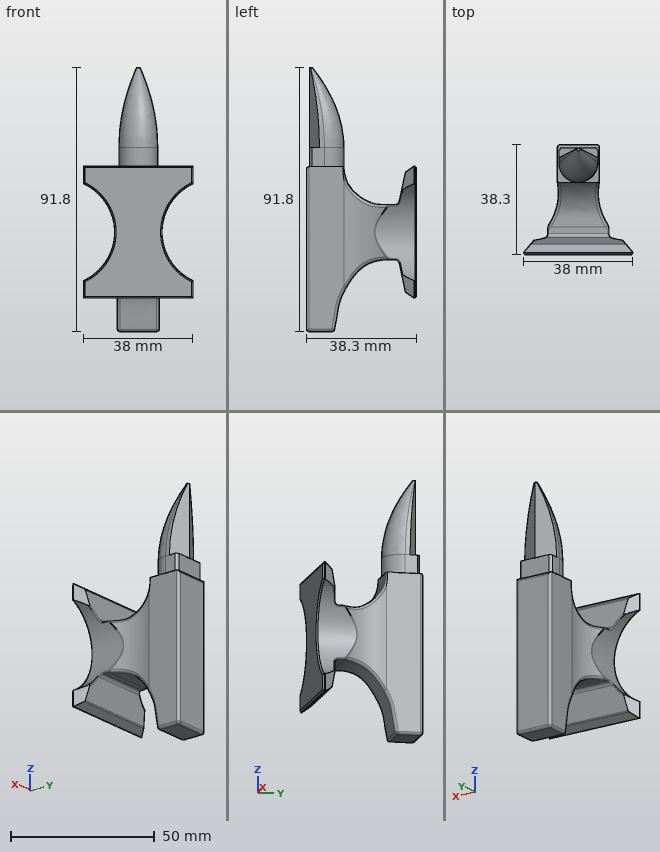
import cadquery as cq


total_length = 91.8
total_height = 38.3
body_top = 57.4
body_half_width = 7.3
body_edge_round = 1.0
heel_height = 28.55

foot_length = 45.9
foot_half_width = 19.0
foot_middle = 34.6
foot_rim = 0.8
foot_rim_chamfer = 0.55
foot_shoulder_y = 3.9
foot_shoulder_round = 0.7
foot_end_taper = 2.1
foot_side_end_y = 6.1
foot_side_end_half_width = 14.5

waist_half_length = 9.6
waist_start_y = 6.2
waist_flat_end_y = 9.7
waist_root_round = 1.5
flank_mid_y = 16.2
flank_mid_half_width = 7.7
flank_end_half_width = 11.9
flank_end_y = 8.3

heel_curve = [(18.4, 22.6), (22.6, 18.2), (26.1, 11.9)]
heel_direction = (0.2, -1)
throat_curve = [(22.2, 49.2), (16.0, 44.9)]

scallop_radius = 18.5
scallop_rim_round = 0.4
scallop_waist_half_width = 8.3
scallop_depth_y = 18.4
scallop_rim_reach = 9.2

pick_margin = 0.1

horn_top = 37.2
horn_bottom = 25.2
horn_half_width = 6.8
collar_top = 64.0
horn_shoulder_y = 33.7
horn_tip_scale = 0.09
horn_sections = 5
collar_corner_chamfer = 0.9

foot_low = foot_middle - foot_length / 2
foot_high = foot_middle + foot_length / 2
waist_low = foot_middle - waist_half_length
waist_high = foot_middle + waist_half_length


def make_foot():
    """Tapered foot plate, trimmed on its long sides by a matching taper."""
    side_profile = (
        cq.Workplane("YZ", origin=(-foot_half_width, 0, 0))
        .moveTo(0, foot_low)
        .lineTo(foot_rim, foot_low)
        .lineTo(foot_shoulder_y, foot_low + foot_end_taper)
        .lineTo(waist_start_y, waist_low)
        .lineTo(waist_start_y, waist_high)
        .lineTo(foot_shoulder_y, foot_high - foot_end_taper)
        .lineTo(foot_rim, foot_high)
        .lineTo(0, foot_high)
        .close()
        .extrude(2 * foot_half_width)
    )
    side_taper = (
        cq.Workplane("XY", origin=(0, 0, foot_low))
        .moveTo(-foot_half_width, 0)
        .lineTo(foot_half_width, 0)
        .lineTo(foot_half_width, foot_rim)
        .lineTo(foot_side_end_half_width, foot_side_end_y)
        .lineTo(foot_side_end_half_width, waist_start_y)
        .lineTo(-foot_side_end_half_width, waist_start_y)
        .lineTo(-foot_side_end_half_width, foot_side_end_y)
        .lineTo(-foot_half_width, foot_rim)
        .close()
        .extrude(foot_length)
    )
    return side_profile.intersect(side_taper)


def make_waist_and_body():
    """Long body whose waist narrows in Z and flares in X towards the foot."""
    side_profile = (
        cq.Workplane("YZ", origin=(-foot_half_width, 0, 0))
        .moveTo(foot_rim, waist_low)
        .lineTo(waist_flat_end_y, waist_low)
        .spline([*heel_curve, (heel_height, 0)],
                tangents=[(1, 0), heel_direction], includeCurrent=True)
        .lineTo(total_height, 0)
        .lineTo(total_height, body_top)
        .lineTo(horn_bottom, body_top)
        .spline([*throat_curve, (waist_flat_end_y, waist_high)],
                tangents=[(0, -1), (-1, 0)], includeCurrent=True)
        .lineTo(foot_rim, waist_high)
        .close()
        .extrude(2 * foot_half_width)
    )
    flank_profile = (
        cq.Workplane("XY")
        .moveTo(-flank_end_half_width, foot_rim)
        .lineTo(flank_end_half_width, foot_rim)
        .lineTo(flank_end_half_width, flank_end_y)
        .threePointArc((flank_mid_half_width, flank_mid_y), (body_half_width, horn_bottom))
        .lineTo(body_half_width, total_height)
        .lineTo(-body_half_width, total_height)
        .lineTo(-body_half_width, horn_bottom)
        .threePointArc((-flank_mid_half_width, flank_mid_y), (-flank_end_half_width, flank_end_y))
        .close()
        .extrude(body_top)
    )
    body = side_profile.intersect(flank_profile)
    flank_rims = body.edges("%BSPLINE")
    heel_edges = body.faces("<Z").edges()
    face_edges = body.faces(">Y").edges()
    return body.newObject(flank_rims.add(heel_edges).add(face_edges).vals()).fillet(body_edge_round)


def make_scallops():
    centre_x = scallop_waist_half_width + scallop_radius
    return (
        cq.Workplane("XZ")
        .pushPoints([(-centre_x, foot_middle), (centre_x, foot_middle)])
        .circle(scallop_radius)
        .extrude(-scallop_depth_y)
    )


def edges_in_slab(solid, middle_y):
    """Straight edges along X that lie at one height above the sole."""
    low = (-foot_half_width, middle_y - pick_margin, foot_low)
    high = (foot_half_width, middle_y + pick_margin, foot_high)
    return solid.edges("|X").edges(cq.selectors.BoxSelector(low, high))


def scallop_rims(solid):
    """Rims of the scallops between the foot tapers and the waist edge rounds."""
    reach_x = foot_side_end_half_width + pick_margin
    low = (-reach_x, foot_rim, waist_low - scallop_rim_reach)
    high = (reach_x, waist_flat_end_y, waist_high + scallop_rim_reach)
    rims = solid.edges(cq.selectors.BoxSelector(low, high))
    return rims.edges("not |X").edges("not %CIRCLE")


def make_anvil():
    anvil = make_foot().union(make_waist_and_body()).cut(make_scallops())
    waist_roots = edges_in_slab(anvil, waist_start_y).vals()
    anvil = anvil.newObject(waist_roots).fillet(waist_root_round)
    shoulders = edges_in_slab(anvil, foot_shoulder_y).vals()
    anvil = anvil.newObject(shoulders).fillet(foot_shoulder_round)
    rims = scallop_rims(anvil).vals()
    anvil = anvil.newObject(rims).fillet(scallop_rim_round)
    return anvil.faces("<Y").edges().chamfer(foot_rim_chamfer)


def horn_section(scale, z):
    """Round-bottomed, gable-topped outline shrunk towards the horn's top line."""
    half_width = scale * horn_half_width
    shoulder_y = horn_top - scale * (horn_top - horn_shoulder_y)
    centre_y = horn_top - scale * (horn_top - horn_bottom - horn_half_width)
    bottom_y = horn_top - scale * (horn_top - horn_bottom)
    return (
        cq.Workplane("XY", origin=(0, 0, z))
        .moveTo(0, horn_top)
        .lineTo(-half_width, shoulder_y)
        .lineTo(-half_width, centre_y)
        .threePointArc((0, bottom_y), (half_width, centre_y))
        .lineTo(half_width, shoulder_y)
        .close()
        .wires()
        .val()
    )


def make_horn():
    """Collar with a round underside, carrying a horn of parabolic taper."""
    centre_y = horn_bottom + horn_half_width
    collar = (
        cq.Workplane("XY", origin=(0, 0, body_top))
        .moveTo(-horn_half_width, horn_top)
        .lineTo(-horn_half_width, centre_y)
        .threePointArc((0, horn_bottom), (horn_half_width, centre_y))
        .lineTo(horn_half_width, horn_top)
        .close()
        .extrude(collar_top - body_top)
        .edges("|Z and >Y")
        .chamfer(collar_corner_chamfer)
    )
    sections = []
    for index in range(horn_sections):
        progress = index / (horn_sections - 1)
        scale = 1 - (1 - horn_tip_scale) * progress**2
        z = collar_top + progress * (total_length - collar_top)
        sections.append(horn_section(scale, z))
    spike = cq.Workplane(cq.Solid.makeLoft(sections))
    return collar.union(spike)


anvil = make_anvil()
horn = make_horn()
result = cq.Compound.makeCompound([anvil.val(), horn.val()])